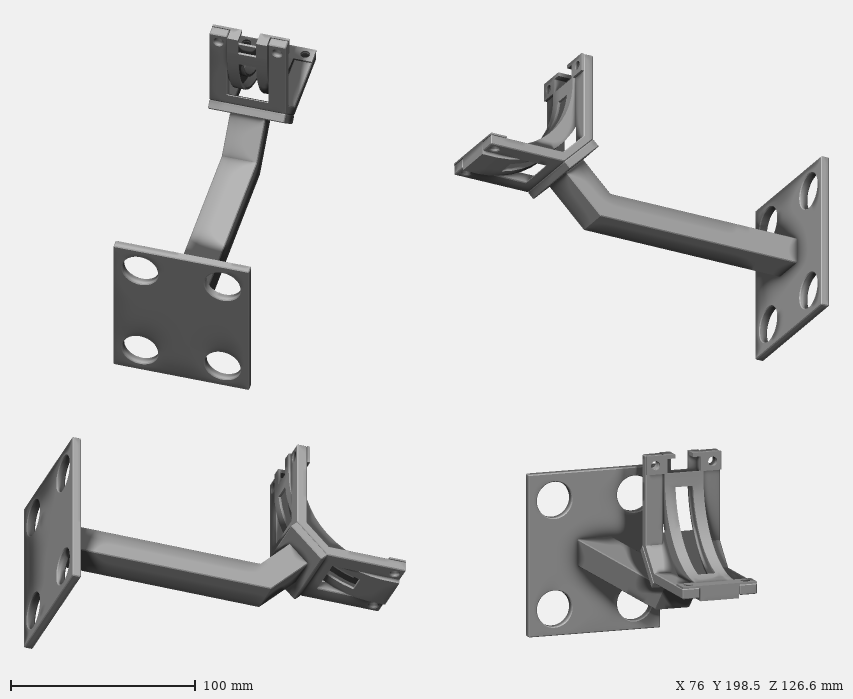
import cadquery as cq
import math

plate_width = 76.0
plate_height = 90.0
plate_thickness = 5.0
plate_hole_diameter = 20.0
plate_hole_margin = 14.9

arm_width = 19.9
arm_depth = 14.9
knee_y = 122.0
tilted_length = 27.0
tilt = math.radians(45)

flange_thickness = 5.0
flange_length = 25.0
saddle_width = 42.9

total_length = 198.5
total_height = 126.6

bevel = 0.5

limb_thickness = 5.8
web_thickness = 4.5
opening_width = 23.0

guide_width = 22.2
guide_depth = 8.5
skin = 1.4
bore_radius = 47.8
center_end_inset = 7.5
center_top_drop = 13.3
upright_straight = 10.3
level_straight = 9.5
slot_width = 10.1
window_top_drop = 18.0
window_end_inset = 20.5
end_wall = 2.2

screw_diameter = 5.2
screw_spacing = 33.0
upright_screw_drop = 5.4
level_screw_inset = 4.8

cos_tilt = math.cos(tilt)
arm_axis_z = plate_height / 2
arm_end = (knee_y + tilted_length * cos_tilt, arm_axis_z + tilted_length * cos_tilt)
flange_step = flange_thickness * cos_tilt
flange_half_step = flange_length / 2 * cos_tilt
saddle_y = arm_end[0] + flange_step
saddle_z = arm_end[1] + flange_step
upright_outer_y = saddle_y - flange_half_step
level_outer_z = saddle_z - flange_half_step
upright_inner_y = upright_outer_y + limb_thickness
level_inner_z = level_outer_z + limb_thickness
web_inner_sum = saddle_y + saddle_z + web_thickness / cos_tilt
curve_center = (total_length - center_end_inset, total_height - center_top_drop)
curve_top = total_height - upright_straight
curve_end = total_length - level_straight
outer_radius = bore_radius + guide_depth


def prism(points, width):
    """Extrude a (y, z) polygon symmetrically about the middle plane."""
    return cq.Workplane("YZ").polyline(points).close().extrude(width / 2, both=True)


def block(width, y_range, z_range):
    """Box centred on the middle plane."""
    (y0, y1), (z0, z1) = y_range, z_range
    return prism([(y0, z0), (y1, z0), (y1, z1), (y0, z1)], width)


def upright_face(radius):
    """Y of the upright straight that meets an arc of this radius at the top of the curve."""
    return curve_center[0] - math.sqrt(radius**2 - (curve_top - curve_center[1]) ** 2)


def level_face(radius):
    """Z of the level straight that meets an arc of this radius at the end of the curve."""
    return curve_center[1] - math.sqrt(radius**2 - (curve_end - curve_center[0]) ** 2)


def curve_middle(radius):
    """Point of the arc halfway between the two limbs."""
    return (curve_center[0] - radius * cos_tilt, curve_center[1] - radius * cos_tilt)


def curved_band(inner, outer, width, upright_end, level_end):
    """Curved strip between two concentric radii, with straight ends up to the given z and y."""
    return (
        cq.Workplane("YZ")
        .moveTo(upright_face(inner), upright_end)
        .lineTo(upright_face(inner), curve_top)
        .threePointArc(curve_middle(inner), (curve_end, level_face(inner)))
        .lineTo(level_end, level_face(inner))
        .lineTo(level_end, level_face(outer))
        .lineTo(curve_end, level_face(outer))
        .threePointArc(curve_middle(outer), (upright_face(outer), curve_top))
        .lineTo(upright_face(outer), upright_end)
        .close()
        .extrude(width / 2, both=True)
    )


def screw_holes():
    """Cutters for the two screw holes in each limb."""
    upright_z = total_height - upright_screw_drop
    level_y = total_length - level_screw_inset
    cutters = cq.Workplane("XY")
    for x in (-screw_spacing / 2, screw_spacing / 2):
        radius = screw_diameter / 2
        along_y = cq.Solid.makeCylinder(
            radius, total_length, cq.Vector(x, 0, upright_z), cq.Vector(0, 1, 0)
        )
        along_z = cq.Solid.makeCylinder(radius, total_height, cq.Vector(x, level_y, 0))
        cutters = cutters.add(along_y).add(along_z)
    return cutters.combine()


def make_wall_plate():
    hole_x = plate_width - 2 * plate_hole_margin
    hole_z = plate_height - 2 * plate_hole_margin
    return (
        block(plate_width, (0, plate_thickness), (0, plate_height))
        .faces("<Y")
        .workplane(centerOption="CenterOfBoundBox")
        .rarray(hole_x, hole_z, 2, 2)
        .hole(plate_hole_diameter)
        .faces("not %CYLINDER")
        .edges()
        .chamfer(bevel)
    )


def make_arm():
    half = arm_depth / 2
    miter = half * math.tan(tilt / 2)
    offset = half * cos_tilt
    arm = prism(
        [
            (plate_thickness, arm_axis_z - half),
            (knee_y + miter, arm_axis_z - half),
            (arm_end[0] + offset, arm_end[1] - offset),
            (arm_end[0] - offset, arm_end[1] + offset),
            (knee_y - miter, arm_axis_z + half),
            (plate_thickness, arm_axis_z + half),
        ],
        arm_width,
    )
    return arm.edges("not(|X) or <Y or >Y").chamfer(bevel)


def make_flange():
    return prism(
        [
            (arm_end[0] + flange_half_step, arm_end[1] - flange_half_step),
            (saddle_y + flange_half_step, saddle_z - flange_half_step),
            (saddle_y - flange_half_step, saddle_z + flange_half_step),
            (arm_end[0] - flange_half_step, arm_end[1] + flange_half_step),
        ],
        saddle_width,
    ).edges().chamfer(bevel)


def is_outside_edge(edge):
    """False for the inside corners of the bracket, which all lie on the web's inner face."""
    point = edge.Center()
    on_web_face = abs(point.y + point.z - web_inner_sum) < bevel
    within_limbs = point.y > upright_outer_y + bevel and point.z > level_outer_z + bevel
    between_sides = abs(point.x) < saddle_width / 2 - bevel
    return not (on_web_face and within_limbs and between_sides)


def make_bracket():
    angle = prism(
        [
            (upright_outer_y, saddle_z + flange_half_step),
            (saddle_y + flange_half_step, level_outer_z),
            (total_length, level_outer_z),
            (total_length, level_inner_z),
            (web_inner_sum - level_inner_z, level_inner_z),
            (upright_inner_y, web_inner_sum - upright_inner_y),
            (upright_inner_y, total_height),
            (upright_outer_y, total_height),
        ],
        saddle_width,
    )
    opening = prism(
        [
            (upright_outer_y, web_inner_sum - upright_outer_y),
            (web_inner_sum - level_outer_z, level_outer_z),
            (total_length, level_outer_z),
            (total_length, total_height),
            (upright_outer_y, total_height),
        ],
        opening_width,
    )
    bracket = angle.cut(opening).cut(screw_holes())
    return bracket.faces("not %CYLINDER").edges().filter(is_outside_edge).chamfer(bevel)


def make_guide():
    guide = curved_band(bore_radius, outer_radius, guide_width, total_height, total_length)

    inner_y = upright_face(bore_radius)
    inner_z = level_face(bore_radius)
    upright_plate = block(saddle_width, (upright_inner_y, inner_y), (curve_top, total_height))
    level_plate = block(saddle_width, (curve_end, total_length), (level_inner_z, inner_z))
    guide = guide.union(upright_plate).union(level_plate)

    channel_width = guide_width - 2 * skin
    channel_outer = outer_radius - skin
    channel_top = total_height - end_wall
    channel = curved_band(
        bore_radius + skin, channel_outer, channel_width, channel_top, total_length - end_wall
    )
    channel_mouth = block(
        channel_width, (upright_face(channel_outer), inner_y), (curve_top, channel_top)
    )

    notch = block(slot_width, (0, inner_y), (curve_top, total_height))
    window = block(
        slot_width,
        (0, total_length - window_end_inset),
        (0, total_height - window_top_drop),
    )
    return guide.cut(channel).cut(channel_mouth).cut(notch).cut(window).cut(screw_holes())


wall_plate = make_wall_plate()
arm = make_arm()
flange = make_flange()
bracket = make_bracket()
guide = make_guide()

result = cq.Compound.makeCompound(
    [wall_plate.val(), arm.val(), flange.val(), bracket.val(), guide.val()]
)